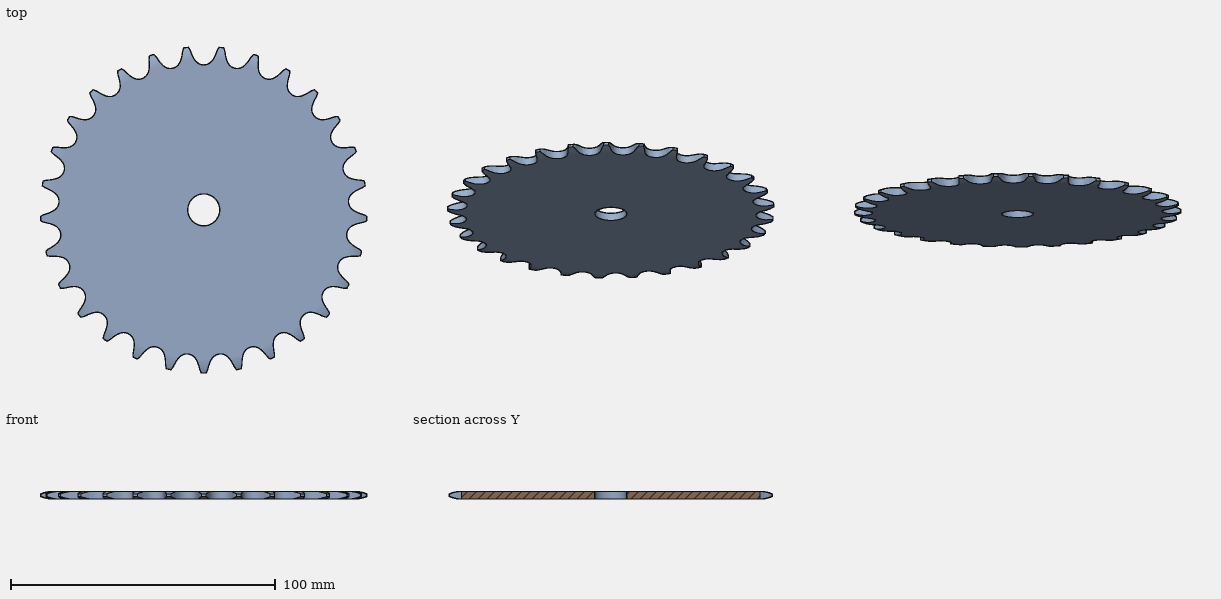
import cadquery as cq
import math

TOOTH_COUNT = 29
CHAIN_PITCH = 12.7
ROLLER_DIAMETER = 7.75
TIP_DIAMETER = 123.4
THICKNESS = 3.0
BORE_DIAMETER = 12.0
TOOTH_BEVEL_RADIUS = 13.0
TIP_WIDTH = 1.0
CUT_MARGIN = 1.0

TOOTH_ANGLE = 360 / TOOTH_COUNT
TIP_RADIUS = TIP_DIAMETER / 2
PITCH_RADIUS = CHAIN_PITCH / (2 * math.sin(math.radians(TOOTH_ANGLE / 2)))

SEAT_RADIUS = (1.005 * ROLLER_DIAMETER + 0.0762) / 2
WORKING_RADIUS = 1.3025 * ROLLER_DIAMETER + 0.0381
SEAT_END_ANGLE = 35 + 60 / TOOTH_COUNT
WORKING_SWEEP = 18 - 56 / TOOTH_COUNT
WORKING_CENTER_DISTANCE = 0.8 * ROLLER_DIAMETER
TOPPING_CENTER_DISTANCE = 1.4 * ROLLER_DIAMETER


def make_blank():
    """Bored disc whose rim narrows along an arc on both faces."""
    bevel_depth = (THICKNESS - TIP_WIDTH) / 2
    arc_center_height = TOOTH_BEVEL_RADIUS - bevel_depth
    bevel_length = math.sqrt(TOOTH_BEVEL_RADIUS**2 - arc_center_height**2)
    face_radius = TIP_RADIUS - bevel_length

    half_sweep = math.asin(bevel_length / TOOTH_BEVEL_RADIUS) / 2
    mid_radius = face_radius + TOOTH_BEVEL_RADIUS * math.sin(half_sweep)
    mid_drop = TOOTH_BEVEL_RADIUS * (1 - math.cos(half_sweep))

    bore_radius = BORE_DIAMETER / 2
    half_thickness = THICKNESS / 2
    half_tip = TIP_WIDTH / 2
    mid_height = half_thickness - mid_drop
    section = (
        cq.Workplane("XZ")
        .moveTo(bore_radius, -half_thickness)
        .lineTo(face_radius, -half_thickness)
        .threePointArc((mid_radius, -mid_height), (TIP_RADIUS, -half_tip))
        .lineTo(TIP_RADIUS, half_tip)
        .threePointArc((mid_radius, mid_height), (face_radius, half_thickness))
        .lineTo(bore_radius, half_thickness)
        .close()
    )
    return section.revolve(360, (0, 0, 0), (0, 1, 0))


def polar(center, radius, angle):
    """Point at a radius and an angle in degrees around a center."""
    turn = math.radians(angle)
    return (center[0] + radius * math.cos(turn), center[1] + radius * math.sin(turn))


def mirrored(point):
    """Reflect a point across the Y axis."""
    return (-point[0], point[1])


def make_tooth_gap():
    """Cutter for the gap at +Y: seat arc, then a working arc, line and topping arc on each side."""
    roller_center = (0, PITCH_RADIUS)
    seat_bottom = (0, PITCH_RADIUS - SEAT_RADIUS)

    seat_end = polar(roller_center, SEAT_RADIUS, -SEAT_END_ANGLE)
    working_center = polar(roller_center, WORKING_CENTER_DISTANCE, 180 - SEAT_END_ANGLE)
    line_angle = WORKING_SWEEP - SEAT_END_ANGLE
    working_mid = polar(working_center, WORKING_RADIUS, line_angle - WORKING_SWEEP / 2)
    working_end = polar(working_center, WORKING_RADIUS, line_angle)

    topping_center = polar(roller_center, TOPPING_CENTER_DISTANCE, -TOOTH_ANGLE / 2)
    offset_x = topping_center[0] - working_end[0]
    offset_y = topping_center[1] - working_end[1]
    turn = math.radians(line_angle)
    topping_radius = offset_x * math.cos(turn) + offset_y * math.sin(turn)
    line_end = polar(topping_center, -topping_radius, line_angle)

    topping_end_y = TIP_RADIUS + CUT_MARGIN
    topping_end_angle = 180 - math.degrees(math.asin((topping_end_y - topping_center[1]) / topping_radius))
    topping_mid_angle = (180 + line_angle + topping_end_angle) / 2
    topping_mid = polar(topping_center, topping_radius, topping_mid_angle)
    topping_end = polar(topping_center, topping_radius, topping_end_angle)

    return (
        cq.Workplane("XY")
        .moveTo(*mirrored(topping_end))
        .threePointArc(mirrored(topping_mid), mirrored(line_end))
        .lineTo(*mirrored(working_end))
        .threePointArc(mirrored(working_mid), mirrored(seat_end))
        .threePointArc(seat_bottom, seat_end)
        .threePointArc(working_mid, working_end)
        .lineTo(*line_end)
        .threePointArc(topping_mid, topping_end)
        .close()
        .extrude(THICKNESS / 2 + CUT_MARGIN, both=True)
    )


def cut_tooth_gaps(blank):
    """Cut one gap per tooth, evenly spaced around the rim, starting at +Y."""
    gap = make_tooth_gap().val()
    gaps = [
        gap.rotate((0, 0, 0), (0, 0, 1), index * TOOTH_ANGLE)
        for index in range(TOOTH_COUNT)
    ]
    return blank.cut(cq.Workplane("XY").newObject([cq.Compound.makeCompound(gaps)]))


result = cut_tooth_gaps(make_blank())